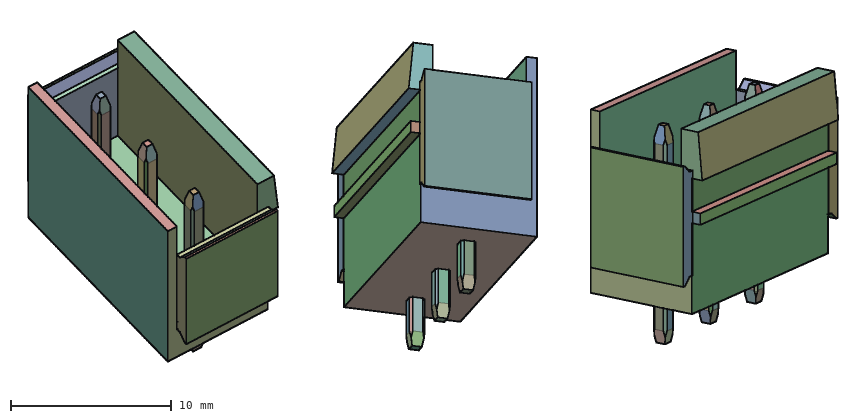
import cadquery as cq


overall_length = 17.0
body_length = 15.0
body_height = 12.0
front_face_y = -3.79
front_wall = 0.7
base_depth = 7.65
floor_thickness = 3.2
back_wall_inner_y = 3.06

latch_height = 3.11
latch_bottom_y = 4.64
latch_top_y = 4.34

rib_bottom_z = 5.97
rib_height = 0.75
rib_back_y = 4.5

rail_depth = 7.0
rail_bottom_z = 2.05
rail_height = 7.85
rail_edge = 0.17
rail_slope_run = 0.53
rail_slope_rise = 0.5

pin_count = 3
pin_pitch = 5.0
pin_width = 1.0
pin_corner = 0.17
pin_tail = 3.2
pin_top_z = 11.07
top_taper = 1.17
top_tip_width = 0.45
tail_taper = 0.94
tail_tip_width = 0.65

end_face_x = body_length / 2
outer_end_x = overall_length / 2
front_wall_inner_y = front_face_y + front_wall
back_face_y = front_face_y + base_depth
latch_bottom_z = body_height - latch_height
pin_bottom_z = -pin_tail
pin_positions = [(i - (pin_count - 1) / 2) * pin_pitch for i in range(pin_count)]


def extrude_along_body(points):
    """Extrude a (y, z) outline over the full body length, centred on X = 0."""
    return cq.Workplane("YZ").polyline(points).close().extrude(end_face_x, both=True)


def make_body():
    """Base floor with front and back walls, latch lip and rib."""
    return extrude_along_body([
        (front_face_y, 0),
        (back_face_y, 0),
        (back_face_y, rib_bottom_z),
        (rib_back_y, rib_bottom_z),
        (rib_back_y, rib_bottom_z + rib_height),
        (back_face_y, rib_bottom_z + rib_height),
        (back_face_y, latch_bottom_z),
        (latch_bottom_y, latch_bottom_z),
        (latch_top_y, body_height),
        (back_wall_inner_y, body_height),
        (back_wall_inner_y, floor_thickness),
        (front_wall_inner_y, floor_thickness),
        (front_wall_inner_y, body_height),
        (front_face_y, body_height),
    ])


def make_rail():
    """Dovetail end rail on the +X end; its narrow neck joins the body."""
    rail_top_z = rail_bottom_z + rail_height
    neck_bottom_z = rail_bottom_z + rail_slope_rise
    neck_top_z = rail_top_z - rail_slope_rise
    slope_outer_x = outer_end_x - rail_edge
    slope_inner_x = slope_outer_x - rail_slope_run
    return (
        cq.Workplane("XZ", origin=(0, front_wall_inner_y, 0))
        .polyline([
            (end_face_x, neck_bottom_z),
            (slope_inner_x, neck_bottom_z),
            (slope_outer_x, rail_bottom_z),
            (outer_end_x, rail_bottom_z),
            (outer_end_x, rail_top_z),
            (slope_outer_x, rail_top_z),
            (slope_inner_x, neck_top_z),
            (end_face_x, neck_top_z),
        ])
        .close()
        .extrude(-rail_depth)
    )


def make_frustum(start_z, start_width, end_z, end_width):
    """Square frustum between two heights."""
    return (
        cq.Workplane("XY", origin=(0, 0, start_z))
        .rect(start_width, start_width)
        .workplane(offset=end_z - start_z)
        .rect(end_width, end_width)
        .loft(ruled=True)
    )


def make_pin(x):
    """Square pin with bevelled corners, tapered to a blunt tip at both ends."""
    shank_bottom_z = pin_bottom_z + tail_taper
    shank_top_z = pin_top_z - top_taper
    tapered = (
        make_frustum(pin_bottom_z, tail_tip_width, shank_bottom_z, pin_width)
        .union(make_frustum(shank_bottom_z, pin_width, shank_top_z, pin_width))
        .union(make_frustum(shank_top_z, pin_width, pin_top_z, top_tip_width))
    )
    bevelled_bar = (
        cq.Workplane("XY", origin=(0, 0, pin_bottom_z))
        .rect(pin_width, pin_width)
        .extrude(pin_top_z - pin_bottom_z)
        .edges("|Z")
        .chamfer(pin_corner)
    )
    return bevelled_bar.intersect(tapered).translate((x, 0, 0))


pins = [make_pin(x) for x in pin_positions]

rail = make_rail()
housing = make_body().union(rail).union(rail.mirror("YZ"))
for pin in pins:
    housing = housing.cut(pin)

result = cq.Compound.makeCompound([housing.solids().val(), *[pin.solids().val() for pin in pins]])